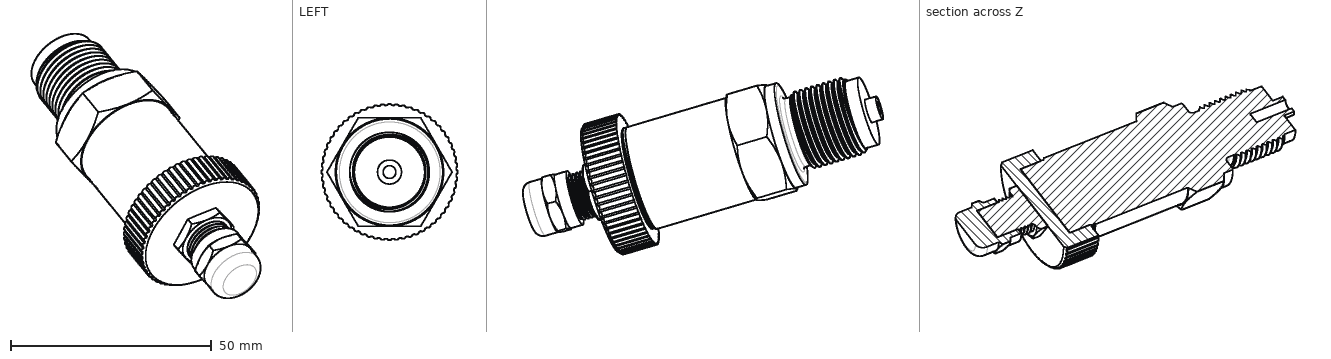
import cadquery as cq
import math


PORT_BODY_START = 2.85
PORT_THREAD_START = 6.1
PORT_THREAD_END = 20.55
COLLAR_START = 23.0
HEX_START = 25.8
HEX_END = 36.0
NECK_START = 62.35
NUT_START = 63.5
NUT_END = 73.1
GLAND_HEX_END = 75.7
CAP_START = 80.0
CAP_HEX_START = 83.1
CAP_HEX_END = 86.5
CAP_END = 92.0

TIP_DIAMETER = 6.0
BORE_DIAMETER = 3.2
BORE_DEPTH = 10.0
PORT_BODY_DIAMETER = 17.5
PORT_ROOT_DIAMETER = 18.14
PORT_CREST_DIAMETER = 19.85
PORT_PITCH = 1.5
PORT_CREST_ANGLE = 90.0
PORT_LEAD_IN = 1.2
PORT_RUN_OUT = 0.8
PORT_NECK_DIAMETER = 17.8
PORT_NECK_FILLET = 1.0

HOUSING_DIAMETER = 26.5
COLLAR_FACE_DIAMETER = 25.13
COLLAR_CHAMFER_LENGTH = 0.2
HEX_ACROSS_FLATS = 27.0
NECK_ROOT_DIAMETER = 25.53
NECK_PITCH = 1.5
NECK_CREST_ANGLE = 190.0
NECK_INSERTION = 6.0

NUT_DIAMETER = 34.0
NUT_CHAMFER = 0.8
KNURL_COUNT = 60
KNURL_DEPTH = 0.32
KNURL_RIDGE_SHARE = 0.7

GLAND_DIAMETER = 14.0
GLAND_ROOT_DIAMETER = 10.74
GLAND_CREST_DIAMETER = 11.88
GLAND_PITCH = 1.0
GLAND_CREST_ANGLE = 0.0
GLAND_INSERTION = 6.0
CAP_FILLET = 2.2

HEX_CHAMFER_ANGLE = 30.0
RIDGE_SINK = 0.1
RIDGE_BASE_SHARE = 0.9
RIDGE_CREST_SHARE = 0.12


def cylinder(diameter, start, end):
    """Round bar along X between two stations."""
    return cq.Workplane("YZ", origin=(start, 0, 0)).circle(diameter / 2).extrude(end - start)


def cone(start_diameter, end_diameter, start, end):
    """Tapered round bar along X between two stations."""
    solid = cq.Solid.makeCone(
        start_diameter / 2, end_diameter / 2, end - start,
        pnt=cq.Vector(start, 0, 0), dir=cq.Vector(1, 0, 0))
    return cq.Workplane(solid)


def hexagon(across_flats, start, end, chamfer_start=True):
    """Hexagonal bar with two corners on the Y axis and its corners turned off at the ends."""
    length = end - start
    corner_diameter = across_flats / math.cos(math.pi / 6)
    wide_diameter = across_flats + 2 * length / math.tan(math.radians(HEX_CHAMFER_ANGLE))
    bar = cq.Workplane("YZ", origin=(start, 0, 0)).polygon(6, corner_diameter).extrude(length)
    bar = bar.intersect(cone(wide_diameter, across_flats, start, end))
    if chamfer_start:
        bar = bar.intersect(cone(across_flats, wide_diameter, start, end))
    return bar


def threaded_bar(root_diameter, crest_diameter, pitch, start, end, crest_angle):
    """Bar with a right-handed ridge that extends past both stations, ready for trimming.

    The crest angle, from +Y towards +Z, is where the ridge crosses the start station.
    """
    margin = 2 * pitch
    base_radius = root_diameter / 2 - RIDGE_SINK
    crest_radius = crest_diameter / 2
    base_half = RIDGE_BASE_SHARE * pitch / 2
    crest_half = RIDGE_CREST_SHARE * pitch / 2
    helix = cq.Wire.makeHelix(pitch, end - start + 2 * margin, root_diameter / 2)
    ridge = (
        cq.Workplane("XZ")
        .moveTo(base_radius, -base_half)
        .lineTo(crest_radius, -crest_half)
        .lineTo(crest_radius, crest_half)
        .lineTo(base_radius, base_half)
        .close()
        .sweep(cq.Workplane(helix), isFrenet=True)
    )
    ridge = ridge.rotate((0, 0, 0), (1, 1, 1), 120)
    ridge = ridge.rotate((0, 0, 0), (1, 0, 0), crest_angle).translate((start - margin, 0, 0))
    return cylinder(root_diameter, start - 2 * margin, end + 2 * margin).union(ridge)


def make_port_thread():
    bar = threaded_bar(PORT_ROOT_DIAMETER, PORT_CREST_DIAMETER, PORT_PITCH,
                       PORT_THREAD_START, PORT_THREAD_END, PORT_CREST_ANGLE)
    lead_in_end = PORT_THREAD_START + PORT_LEAD_IN
    run_out_start = PORT_THREAD_END - PORT_RUN_OUT
    envelope_radius = PORT_CREST_DIAMETER / 2 + RIDGE_SINK
    envelope = (
        cq.Workplane("XY")
        .moveTo(PORT_THREAD_START, 0)
        .lineTo(PORT_THREAD_START, PORT_ROOT_DIAMETER / 2)
        .lineTo(lead_in_end, envelope_radius)
        .lineTo(run_out_start, envelope_radius)
        .lineTo(PORT_THREAD_END, PORT_ROOT_DIAMETER / 2)
        .lineTo(PORT_THREAD_END, 0)
        .close()
        .revolve(360, (0, 0, 0), (1, 0, 0))
    )
    return bar.intersect(envelope)


def make_neck_thread():
    bar = threaded_bar(NECK_ROOT_DIAMETER, HOUSING_DIAMETER, NECK_PITCH,
                       NECK_START, NUT_START, NECK_CREST_ANGLE)
    return bar.intersect(cylinder(NUT_DIAMETER, NECK_START, NUT_START))


def make_housing():
    port = cylinder(TIP_DIAMETER, 0, PORT_BODY_START)
    port = port.union(cylinder(PORT_BODY_DIAMETER, PORT_BODY_START, PORT_THREAD_START))
    port = port.union(make_port_thread())

    neck_radius = PORT_NECK_DIAMETER / 2
    barrel = (
        cq.Workplane("XY")
        .moveTo(PORT_THREAD_END, 0)
        .lineTo(PORT_THREAD_END, neck_radius)
        .lineTo(COLLAR_START - PORT_NECK_FILLET, neck_radius)
        .radiusArc((COLLAR_START, neck_radius + PORT_NECK_FILLET), -PORT_NECK_FILLET)
        .lineTo(COLLAR_START, COLLAR_FACE_DIAMETER / 2)
        .lineTo(COLLAR_START + COLLAR_CHAMFER_LENGTH, HOUSING_DIAMETER / 2)
        .lineTo(NECK_START, HOUSING_DIAMETER / 2)
        .lineTo(NECK_START, 0)
        .close()
        .revolve(360, (0, 0, 0), (1, 0, 0))
    )
    barrel = barrel.union(hexagon(HEX_ACROSS_FLATS, HEX_START, HEX_END))
    spigot = cylinder(NECK_ROOT_DIAMETER, NUT_START, NUT_START + NECK_INSERTION)
    housing = port.union(barrel).union(make_neck_thread()).union(spigot)
    return housing.cut(cylinder(BORE_DIAMETER, 0, BORE_DEPTH))


def make_nut():
    crest_radius = NUT_DIAMETER / 2
    groove_radius = crest_radius - KNURL_DEPTH
    step = 2 * math.pi / KNURL_COUNT
    half_ridge = KNURL_RIDGE_SHARE * step / 2

    def rim_point(radius, angle):
        return radius * math.cos(angle), radius * math.sin(angle)

    nut = cq.Workplane("YZ", origin=(NUT_START, 0, 0)).moveTo(*rim_point(groove_radius, -half_ridge))
    for i in range(KNURL_COUNT):
        crest_angle = i * step
        nut = nut.threePointArc(
            rim_point(crest_radius, crest_angle),
            rim_point(groove_radius, crest_angle + half_ridge))
        if i < KNURL_COUNT - 1:
            nut = nut.lineTo(*rim_point(groove_radius, crest_angle + step - half_ridge))
    nut = nut.close().extrude(NUT_END - NUT_START)

    envelope = cylinder(NUT_DIAMETER, NUT_START, NUT_END).faces(">X").chamfer(NUT_CHAMFER)
    nut = nut.intersect(envelope)
    return nut.cut(cylinder(NECK_ROOT_DIAMETER, NUT_START, NUT_START + NECK_INSERTION))


def make_gland_body():
    thread = threaded_bar(GLAND_ROOT_DIAMETER, GLAND_CREST_DIAMETER, GLAND_PITCH,
                          GLAND_HEX_END, CAP_START, GLAND_CREST_ANGLE)
    thread = thread.intersect(cylinder(GLAND_DIAMETER, GLAND_HEX_END, CAP_START))
    spigot = cylinder(GLAND_ROOT_DIAMETER, CAP_START, CAP_START + GLAND_INSERTION)
    hex_flange = hexagon(GLAND_DIAMETER, NUT_END, GLAND_HEX_END, chamfer_start=False)
    return hex_flange.union(thread).union(spigot)


def make_gland_cap():
    cap = cylinder(GLAND_DIAMETER, CAP_START, CAP_END).faces(">X").edges().fillet(CAP_FILLET)
    cap = cap.union(hexagon(GLAND_DIAMETER, CAP_HEX_START, CAP_HEX_END))
    return cap.cut(cylinder(GLAND_ROOT_DIAMETER, CAP_START, CAP_START + GLAND_INSERTION))


housing = make_housing()
knurled_nut = make_nut()
gland_body = make_gland_body()
gland_cap = make_gland_cap()

result = cq.Compound.makeCompound([
    housing.val(),
    knurled_nut.val(),
    gland_body.val(),
    gland_cap.val(),
])